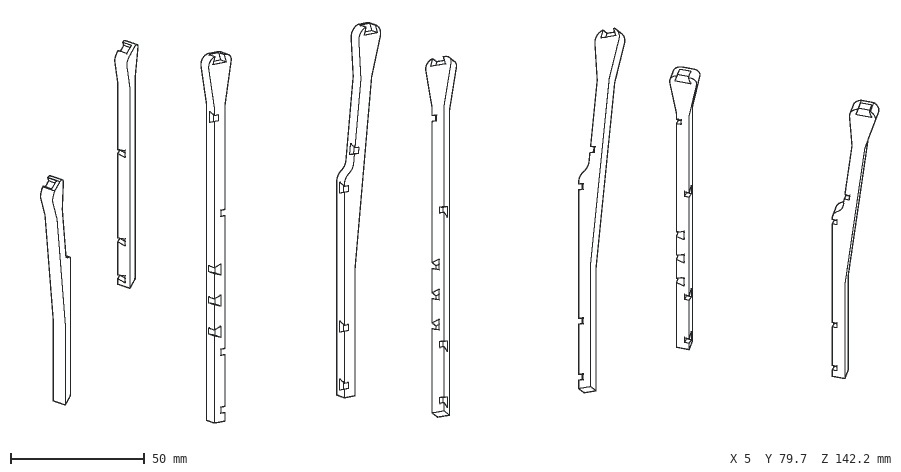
import cadquery as cq
import math

thickness = 5.0
bar_width = 5.0
height = 142.2
head_base_z = 122.5
straight_bar_y = 0.0
bent_bar_y = -60.3

head_top_half_width = 5.8
head_front_radius = 2.4
head_back_radius = 3.8

lean = math.radians(6)
bend_z = 49.5
head_front = (-72.0, 137.5)
head_front_mid = (-71.5, 140.8)
head_top_front_y = -70.1
head_top_back_y = -65.3
head_back_mid = (-63.0, 140.7)
head_back = (-62.0, 137.5)
hump_start_z = 82.8
hump_radius = 4.8
hump_end_offset = 2.3
hump_fillet_top_z = 90.5

notch_x_depth = 3.5
edge_notch_y_depth = 1.8
side_dovetail = {"mouth": 2.3, "floor": 4.3, "depth": 3.0}
head_dovetail = {"mouth": 4.3, "floor": 6.1, "depth": 3.0}
edge_notch_z = (4.5, 27.0, 80.9)
upper_back_notch_z = 118.2
leaning_notch_z = 95.2
first_dovetail_z = 35.0
dovetail_pitch = 12.1
dovetail_count = 3
bent_head_dovetail_y = -67.5

TOWARD_BACK = 0
TOWARD_FRONT = 180
DOWN = -90


def dovetail_profile(plane, mouth, floor, depth):
    """Trapezoid that widens from its mouth at the origin along the plane's local X."""
    points = [(0, -mouth / 2), (depth, -floor / 2), (depth, floor / 2), (0, mouth / 2)]
    return cq.Workplane(plane).polyline(points).close()


def place_cutter(cutter, center_y, center_z, direction):
    return cutter.rotate((0, 0, 0), (1, 0, 0), direction).translate((0, center_y, center_z))


def dovetail_slot(center_y, center_z, direction, dovetail):
    """Slot that widens away from the edge face it opens on."""
    cutter = dovetail_profile("YZ", **dovetail).extrude(notch_x_depth)
    return place_cutter(cutter, center_y, center_z, direction)


def edge_notch(center_y, center_z, direction):
    """Shallow slot in an edge face, widening away from the -X face."""
    cutter = dovetail_profile("XZ", **side_dovetail).extrude(-edge_notch_y_depth)
    return place_cutter(cutter, center_y, center_z, direction)


def straight_arm():
    front_y = straight_bar_y
    back_y = front_y + bar_width
    middle_y = (front_y + back_y) / 2
    outline = [
        (front_y, 0),
        (front_y, head_base_z),
        (middle_y - head_top_half_width, height),
        (middle_y + head_top_half_width, height),
        (back_y, head_base_z),
        (back_y, 0),
    ]
    arm = cq.Workplane("YZ").polyline(outline).close().extrude(thickness)
    arm = arm.edges("|X and >Z").edges("<Y").fillet(head_front_radius)
    back_corner = cq.selectors.NearestToPointSelector((thickness / 2, middle_y + head_top_half_width, height))
    arm = arm.edges("|X").edges(back_corner).fillet(head_back_radius)

    for z in edge_notch_z:
        arm = arm.cut(edge_notch(front_y, z, TOWARD_BACK))
    arm = arm.cut(edge_notch(back_y, upper_back_notch_z, TOWARD_FRONT))
    for i in range(dovetail_count):
        z = first_dovetail_z + i * dovetail_pitch
        arm = arm.cut(dovetail_slot(back_y, z, TOWARD_FRONT, side_dovetail))
    return arm.cut(dovetail_slot(middle_y, height, DOWN, head_dovetail))


def bent_arm():
    front_y = bent_bar_y
    back_y = front_y + bar_width

    def leaning_front_y(z):
        return front_y - (z - bend_z) * math.tan(lean)

    def leaning_back_y(z):
        return leaning_front_y(z) + bar_width / math.cos(lean)

    hump_center_y = back_y - hump_radius
    hump_end_angle = math.acos((hump_radius - hump_end_offset) / hump_radius)

    def hump_point(angle):
        return (
            hump_center_y + hump_radius * math.cos(angle),
            hump_start_z + hump_radius * math.sin(angle),
        )

    arm = (
        cq.Workplane("YZ")
        .moveTo(front_y, 0)
        .lineTo(front_y, bend_z)
        .lineTo(leaning_front_y(head_base_z), head_base_z)
        .lineTo(*head_front)
        .threePointArc(head_front_mid, (head_top_front_y, height))
        .lineTo(head_top_back_y, height)
        .threePointArc(head_back_mid, head_back)
        .lineTo(leaning_back_y(head_base_z), head_base_z)
        .lineTo(leaning_back_y(hump_fillet_top_z), hump_fillet_top_z)
        .tangentArcPoint(hump_point(hump_end_angle), relative=False)
        .threePointArc(hump_point(hump_end_angle / 2), hump_point(0))
        .lineTo(back_y, 0)
        .close()
        .extrude(thickness)
    )

    for z in edge_notch_z:
        arm = arm.cut(edge_notch(back_y, z, TOWARD_FRONT))
    leaning_direction = TOWARD_FRONT + math.degrees(lean)
    leaning_notch_y = leaning_back_y(leaning_notch_z)
    arm = arm.cut(edge_notch(leaning_notch_y, leaning_notch_z, leaning_direction))
    return arm.cut(dovetail_slot(bent_head_dovetail_y, height, DOWN, head_dovetail))


straight = straight_arm()
bent = bent_arm()

result = cq.Compound.makeCompound([straight.val(), bent.val()])